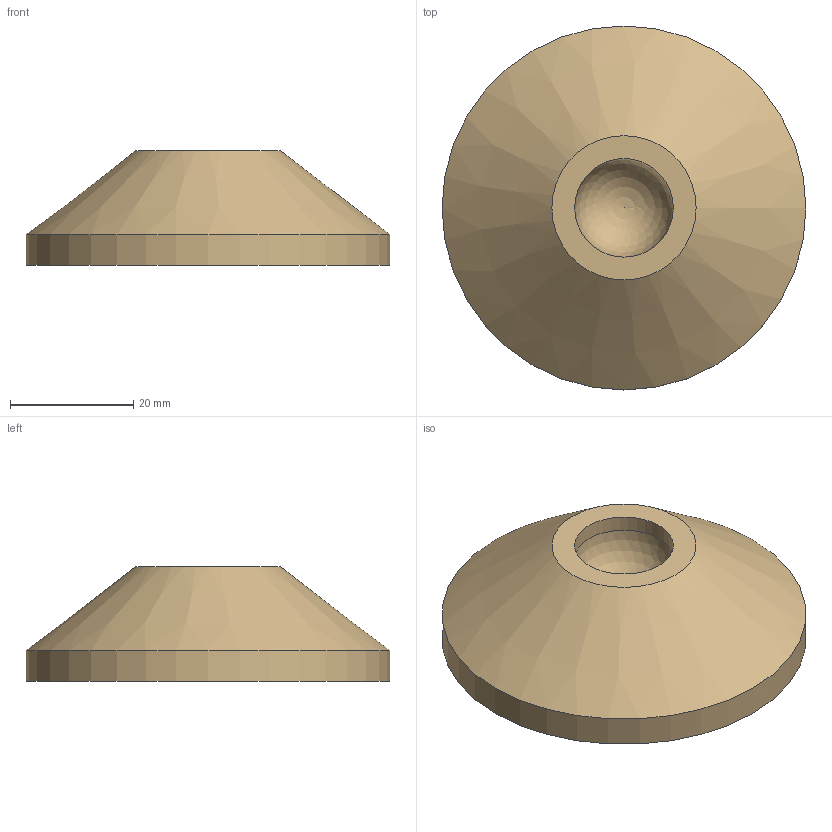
import cadquery as cq

base_diameter = 59.0
rim_height = 5.0
total_height = 18.6
top_diameter = 23.4
socket_diameter = 16.0
socket_straight_depth = 2.6

base_radius = base_diameter / 2
top_radius = top_diameter / 2
socket_radius = socket_diameter / 2
socket_center_height = total_height - socket_straight_depth


def make_body():
    """Cylindrical rim topped by a truncated cone, standing on Z = 0."""
    half_profile = (
        cq.Workplane("XZ")
        .lineTo(base_radius, 0)
        .lineTo(base_radius, rim_height)
        .lineTo(top_radius, total_height)
        .lineTo(0, total_height)
        .close()
    )
    return half_profile.revolve(360, (0, 0, 0), (0, 1, 0))


def make_socket():
    """Straight bore with a hemispherical bottom, open at the top face."""
    bore = (
        cq.Workplane("XY")
        .workplane(offset=socket_center_height)
        .circle(socket_radius)
        .extrude(socket_straight_depth)
    )
    ball = cq.Workplane("XY").sphere(socket_radius).translate((0, 0, socket_center_height))
    return bore.union(ball)


result = make_body().cut(make_socket())